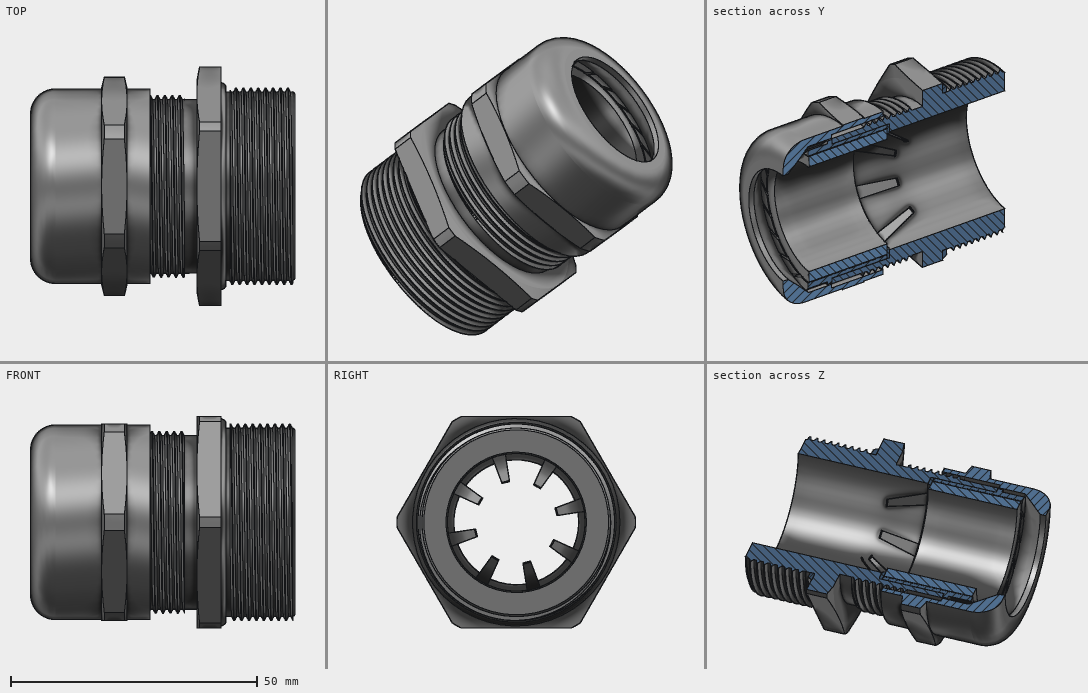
import cadquery as cq
import math

TOTAL_LENGTH = 53.75
CLEARANCE = 0.05

CAP_DIAMETER = 39.6
CAP_LENGTH = 24.3
CAP_ROUNDING = 5.15
CAP_MOUTH_DIAMETER = 25.45
CAP_LIP_LENGTH = 1.25
CAP_BORE_DIAMETER = 35.35
CAP_HEX_START = 14.45
CAP_HEX_LENGTH = 5.15
CAP_HEX_FLATS = 40.0
CAP_HEX_CORNERS = 44.4
CAP_THREAD_BORE_DIAMETER = 37.15

BODY_START = 11.8
NECK_DIAMETER = 35.35
CONNECTION_DIAMETER = 38.3
BODY_HEX_START = 33.8
BODY_HEX_END = 38.75
BODY_HEX_FLATS = 43.0
BODY_HEX_CORNERS = 48.5
HEX_CHAMFER = 0.55
END_CHAMFER = 0.4
CAGE_SEAT_DIAMETER = 32.4
CAGE_SEAT_END = 25.8
REAR_BORE_DIAMETER = 28.55

PITCH = 1.5
RIDGE_BASE = 1.0
RIDGE_CREST = 0.15
RIDGE_ROOT_DEPTH = 0.2
CAP_THREAD_DIAMETER = 36.95
CAP_THREAD_START = 19.35
CAP_THREAD_END = 31.35
CAP_THREAD_CREST = 31.45
CONNECTION_THREAD_DIAMETER = 40.0
CONNECTION_THREAD_START = 40.6
CONNECTION_THREAD_END = 53.3
CONNECTION_THREAD_CREST = 41.4

GASKET_LENGTH = 0.95
GASKET_DIAMETER = 42.15
GASKET_END_DIAMETER = 40.65
GASKET_BULGE = 0.1

SEAL_DIAMETER = 30.65
SEAL_BORE_DIAMETER = 25.3
SEAL_RECESS = 0.2
CAGE_BORE_DIAMETER = SEAL_DIAMETER + CLEARANCE
CAGE_HEAD_DIAMETER = 34.95
SLIT_COUNT = 20
SLIT_WIDTH = 0.55
SLIT_LEAN = 45.0
SLIT_OUTER_ANGLE = -17.0
SLIT_WALL = 1.1

SPRING_THICKNESS = 0.55
FINGER_THICKNESS = 0.2
FINGER_SETBACK = 0.1
SPRING_BORE_DIAMETER = 27.95
FINGER_ROOT_RADIUS = 14.15
FINGER_COUNT = 8
FINGER_FIRST_ANGLE = 14.7
FINGER_SLOPE = 52.0
FINGER_TIP_RADIUS = 8.35
FINGER_TIP_LENGTH = 0.25
FINGER_TIP_WIDTH = 1.6
FINGER_ROOT_WIDTH = 2.8

CAP_CONE_END = CAP_LIP_LENGTH + (CAP_BORE_DIAMETER - CAP_MOUTH_DIAMETER) / 2
CAGE_START = CAP_LIP_LENGTH + (CAGE_HEAD_DIAMETER - CAP_MOUTH_DIAMETER) / 2
SPRING_START = CAGE_SEAT_END - SPRING_THICKNESS


def tube(outer_diameter, inner_diameter, start, end):
    """Round tube on the X axis between two X positions."""
    ring = cq.Workplane("YZ", origin=(start, 0, 0)).circle(outer_diameter / 2).circle(inner_diameter / 2)
    return ring.extrude(end - start)


def rod(diameter, start, end):
    """Round bar on the X axis between two X positions."""
    return cq.Workplane("YZ", origin=(start, 0, 0)).circle(diameter / 2).extrude(end - start)


def revolved(points):
    """Solid of revolution about X from a closed outline of (x, radius) points."""
    return cq.Workplane("XY").polyline(points).close().revolve(360, (0, 0, 0), (1, 0, 0))


def hexagon(flats, corners, start, end, chamfer_end):
    """Hexagon with flats facing +Z and -Z, its corners turned round and its face edges chamfered.

    The -X face is always chamfered, the +X face only when chamfer_end is true.
    """
    full_corners = flats / math.cos(math.radians(30))
    prism = cq.Workplane("YZ", origin=(start, 0, 0)).polygon(6, full_corners).extrude(end - start)
    flat_radius = flats / 2
    corner_radius = corners / 2
    outline = [(start, 0), (start, flat_radius), (start + HEX_CHAMFER, corner_radius)]
    if chamfer_end:
        outline += [(end - HEX_CHAMFER, corner_radius), (end, flat_radius)]
    else:
        outline.append((end, corner_radius))
    outline.append((end, 0))
    return prism.intersect(revolved(outline))


def thread_ridge(core_diameter, crest_diameter, start, end, crest_position):
    """Helical ridge on a core, trimmed square at both ends.

    crest_position is an X position at which the crest passes the -Z side.
    """
    root_radius = core_diameter / 2 - RIDGE_ROOT_DEPTH
    crest_radius = crest_diameter / 2
    turns_before = math.ceil((crest_position - start) / PITCH) + 1
    first_crest = crest_position - turns_before * PITCH
    height = end - first_crest + PITCH
    helix = cq.Wire.makeHelix(PITCH, height, root_radius)
    flank = (RIDGE_BASE - RIDGE_CREST) / 2
    root_half = RIDGE_BASE / 2 + flank * RIDGE_ROOT_DEPTH / (crest_radius - core_diameter / 2)
    profile = [
        (root_radius, -root_half),
        (crest_radius, -RIDGE_CREST / 2),
        (crest_radius, RIDGE_CREST / 2),
        (root_radius, root_half),
    ]
    ridge = cq.Workplane("XZ").polyline(profile).close().sweep(cq.Workplane(helix), isFrenet=True)
    ridge = ridge.rotate((0, 0, 0), (0, 1, 0), 90).translate((first_crest, 0, 0))
    return ridge.intersect(rod(2 * crest_diameter, start, end))


def make_cap():
    """Domed cap nut with a hexagon band and a conical mouth."""
    cap = rod(CAP_DIAMETER, 0, CAP_LENGTH).faces("<X").edges().fillet(CAP_ROUNDING)
    hex_end = CAP_HEX_START + CAP_HEX_LENGTH
    cap = cap.union(hexagon(CAP_HEX_FLATS, CAP_HEX_CORNERS, CAP_HEX_START, hex_end, True))
    mouth_radius = CAP_MOUTH_DIAMETER / 2
    bore_radius = CAP_BORE_DIAMETER / 2
    thread_radius = CAP_THREAD_BORE_DIAMETER / 2
    cavity = [
        (0, 0),
        (0, mouth_radius),
        (CAP_LIP_LENGTH, mouth_radius),
        (CAP_CONE_END, bore_radius),
        (BODY_START, bore_radius),
        (BODY_START, thread_radius),
        (CAP_LENGTH, thread_radius),
        (CAP_LENGTH, 0),
    ]
    return cap.cut(revolved(cavity))


def make_body():
    """Gland body with two outside threads, a hexagon and a stepped bore."""
    neck = rod(NECK_DIAMETER, BODY_START, BODY_HEX_START)
    neck = neck.union(
        thread_ridge(NECK_DIAMETER, CAP_THREAD_DIAMETER, CAP_THREAD_START, CAP_THREAD_END, CAP_THREAD_CREST)
    )
    connection = rod(CONNECTION_DIAMETER, BODY_HEX_END, TOTAL_LENGTH)
    connection = connection.faces(">X").edges().chamfer(END_CHAMFER)
    connection = connection.union(
        thread_ridge(
            CONNECTION_DIAMETER,
            CONNECTION_THREAD_DIAMETER,
            CONNECTION_THREAD_START,
            CONNECTION_THREAD_END,
            CONNECTION_THREAD_CREST,
        )
    )
    body = hexagon(BODY_HEX_FLATS, BODY_HEX_CORNERS, BODY_HEX_START, BODY_HEX_END, False)
    body = body.union(neck).union(connection)
    body = body.cut(rod(CAGE_SEAT_DIAMETER, BODY_START, CAGE_SEAT_END))
    return body.cut(rod(REAR_BORE_DIAMETER, CAGE_SEAT_END, TOTAL_LENGTH))


def make_gasket():
    """Sealing ring against the body hexagon, with a slightly bulged sloping rim."""
    end = BODY_HEX_END + GASKET_LENGTH
    inner_radius = CONNECTION_DIAMETER / 2
    rim_start = (BODY_HEX_END, GASKET_DIAMETER / 2)
    rim_end = (end, GASKET_END_DIAMETER / 2)
    rim_middle = (
        (rim_start[0] + rim_end[0]) / 2 + GASKET_BULGE,
        (rim_start[1] + rim_end[1]) / 2 + GASKET_BULGE,
    )
    section = cq.Workplane("XY").moveTo(BODY_HEX_END, inner_radius).lineTo(*rim_start)
    section = section.threePointArc(rim_middle, rim_end).lineTo(end, inner_radius).close()
    return section.revolve(360, (0, 0, 0), (1, 0, 0))


def make_seal():
    """Plain sealing sleeve inside the clamping cage."""
    return tube(SEAL_DIAMETER, SEAL_BORE_DIAMETER, CAGE_START + SEAL_RECESS, SPRING_START)


def make_cage():
    """Clamping cage: a sleeve whose head is split into lamellae by leaning slits."""
    cage = tube(CAGE_HEAD_DIAMETER, CAGE_BORE_DIAMETER, CAGE_START, BODY_START)
    cage = cage.union(tube(CAGE_SEAT_DIAMETER, CAGE_BORE_DIAMETER, BODY_START, SPRING_START))
    slit_depth = BODY_START - CAGE_START - SLIT_WALL
    slit_length = CAGE_HEAD_DIAMETER - CAGE_BORE_DIAMETER
    slit = cq.Workplane("XY").box(slit_depth, 2 * slit_length, SLIT_WIDTH, centered=(False, True, True))
    slit = slit.rotate((0, 0, 0), (1, 0, 0), SLIT_LEAN)
    slit = slit.translate((CAGE_START, CAGE_HEAD_DIAMETER / 2, 0))
    for index in range(SLIT_COUNT):
        angle = SLIT_OUTER_ANGLE + index * 360 / SLIT_COUNT
        cage = cage.cut(slit.rotate((0, 0, 0), (1, 0, 0), angle))
    return cage


def make_spring():
    """Contact spring: a flat ring with tapered fingers leaning inward and toward +X."""
    spring = tube(CAGE_SEAT_DIAMETER, SPRING_BORE_DIAMETER, SPRING_START, CAGE_SEAT_END)
    bend_radius = FINGER_TIP_RADIUS + FINGER_TIP_LENGTH
    run = (FINGER_ROOT_RADIUS - bend_radius) * math.tan(math.radians(FINGER_SLOPE))
    root_front = SPRING_START + FINGER_SETBACK
    tip_front = root_front + run
    side = [
        (root_front, FINGER_ROOT_RADIUS),
        (tip_front, bend_radius),
        (tip_front, FINGER_TIP_RADIUS),
        (tip_front + FINGER_THICKNESS, FINGER_TIP_RADIUS),
        (tip_front + FINGER_THICKNESS, bend_radius),
        (root_front + FINGER_THICKNESS, FINGER_ROOT_RADIUS),
    ]
    strip = cq.Workplane("XY").polyline(side).close().extrude(FINGER_ROOT_WIDTH / 2, both=True)
    plan = [
        (FINGER_ROOT_RADIUS, -FINGER_ROOT_WIDTH / 2),
        (FINGER_TIP_RADIUS, -FINGER_TIP_WIDTH / 2),
        (FINGER_TIP_RADIUS, FINGER_TIP_WIDTH / 2),
        (FINGER_ROOT_RADIUS, FINGER_ROOT_WIDTH / 2),
    ]
    taper = cq.Workplane("YZ").polyline(plan).close().extrude(TOTAL_LENGTH)
    finger = strip.intersect(taper)
    for index in range(FINGER_COUNT):
        angle = FINGER_FIRST_ANGLE + index * 360 / FINGER_COUNT
        spring = spring.union(finger.rotate((0, 0, 0), (1, 0, 0), angle))
    return spring


cap = make_cap()
body = make_body()
gasket = make_gasket()
seal = make_seal()
cage = make_cage()
spring = make_spring()

result = cq.Compound.makeCompound(
    [cap.val(), body.val(), gasket.val(), seal.val(), cage.val(), spring.val()]
)